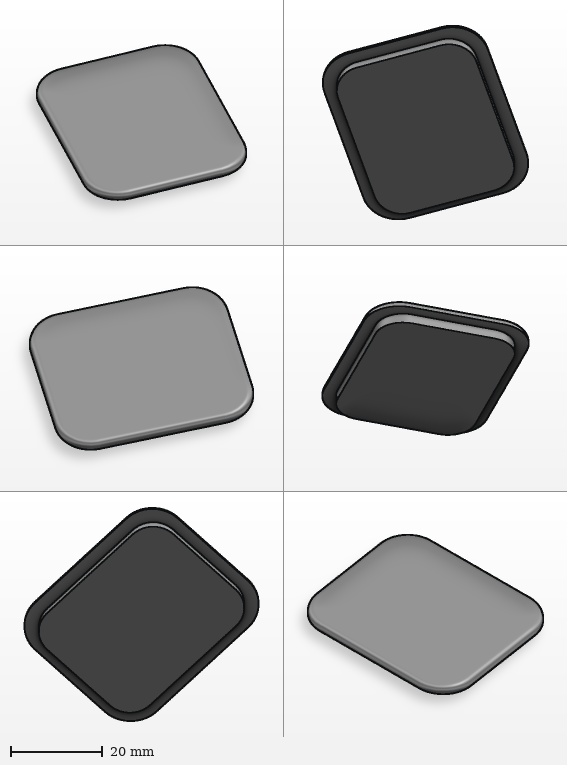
import cadquery as cq

plate_length = 44.45
plate_width = 37.3
plate_thickness = 1.8
plate_corner_radius = 8.0
edge_rounding = 1.5

plug_length = 39.2
plug_width = 31.6
plug_corner_radius = 6.25
total_height = 4.15
plug_height = total_height - plate_thickness


def rounded_block(length, width, height, corner_radius):
    """Block standing on Z = 0 with rounded vertical corners."""
    block = cq.Workplane("XY").box(length, width, height, centered=(True, True, False))
    return block.edges("|Z").fillet(corner_radius)


plate = rounded_block(plate_length, plate_width, plate_thickness, plate_corner_radius)
plate = plate.faces(">Z").edges().fillet(edge_rounding)

plug = rounded_block(plug_length, plug_width, plug_height, plug_corner_radius)

result = plug.union(plate.translate((0, 0, plug_height)))